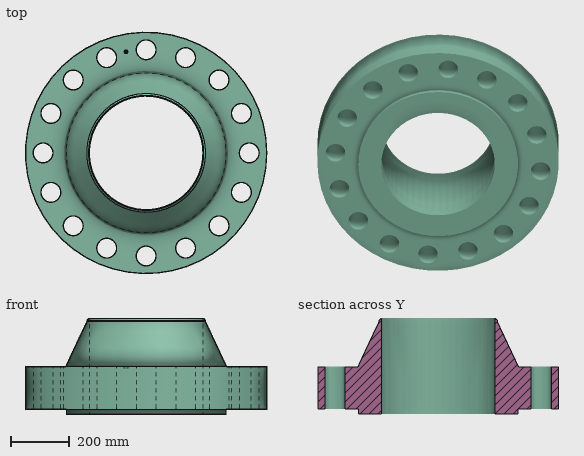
import cadquery as cq
import math

flange_diameter = 825.0
flange_thickness = 146.0
face_diameter = 546.0
face_height = 17.0

total_height = 328.5
hub_base_diameter = 550.5
hub_base_fillet = 4.0
weld_end_diameter = 406.0
weld_end_length = 11.5
bevel_height = 7.0
bevel_tip_diameter = 394.0
bore_diameter = 388.0

bolt_count = 16
bolt_circle_diameter = 705.0
bolt_hole_diameter = 67.0

mark_diameter = 12.0
mark_depth = 4.0
pilot_diameter = 6.0
pilot_depth = 12.0

flange_top = face_height + flange_thickness
weld_end_bottom = total_height - weld_end_length
bevel_bottom = total_height - bevel_height
bolt_circle_radius = bolt_circle_diameter / 2
bolt_pitch_angle = 360.0 / bolt_count


def turned_body():
    """Raised face, flange, hub and bore as one turned profile."""
    half_profile = [
        (bore_diameter / 2, 0),
        (face_diameter / 2, 0),
        (face_diameter / 2, face_height),
        (flange_diameter / 2, face_height),
        (flange_diameter / 2, flange_top),
        (hub_base_diameter / 2, flange_top),
        (weld_end_diameter / 2, weld_end_bottom),
        (weld_end_diameter / 2, bevel_bottom),
        (bevel_tip_diameter / 2, total_height),
        (bore_diameter / 2, total_height),
    ]
    body = cq.Workplane("XZ").polyline(half_profile).close().revolve(360, (0, 0), (0, 1))

    flange_upper_face = body.faces("|Z").faces(">Z[-2]")
    hub_foot = flange_upper_face.edges(cq.selectors.RadiusNthSelector(0))
    return hub_foot.fillet(hub_base_fillet)


def bolt_holes():
    return (
        cq.Workplane("XY")
        .polarArray(bolt_circle_radius, 0, 360, bolt_count)
        .circle(bolt_hole_diameter / 2)
        .extrude(flange_top)
    )


def mark_hole():
    """Wide shallow step with a narrower pilot below it."""
    angle = math.radians(90 + bolt_pitch_angle / 2)
    x = bolt_circle_radius * math.cos(angle)
    y = bolt_circle_radius * math.sin(angle)
    mouth = cq.Workplane("XY", origin=(x, y, flange_top))
    step = mouth.circle(mark_diameter / 2).extrude(-mark_depth)
    pilot = mouth.circle(pilot_diameter / 2).extrude(-pilot_depth)
    return step.union(pilot)


result = turned_body().cut(bolt_holes()).cut(mark_hole())